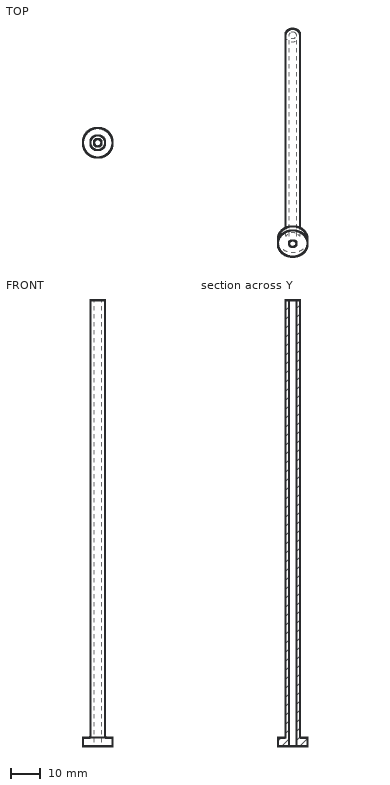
import cadquery as cq

total_length = 150.0
head_diameter = 10.0
head_height = 3.0
tube_diameter = head_diameter / 2
bore_diameter = tube_diameter / 2

root_fillet = 0.3


def cylinder(diameter, height):
    """Solid cylinder on the Z axis, rising from the XY plane."""
    return cq.Workplane("XY").circle(diameter / 2).extrude(height)


body = cylinder(head_diameter, head_height).union(cylinder(tube_diameter, total_length))

head_top = body.faces(cq.selectors.NearestToPointSelector((0, 0, head_height)))
body = head_top.edges(cq.selectors.RadiusNthSelector(0)).fillet(root_fillet)

result = body.cut(cylinder(bore_diameter, total_length))